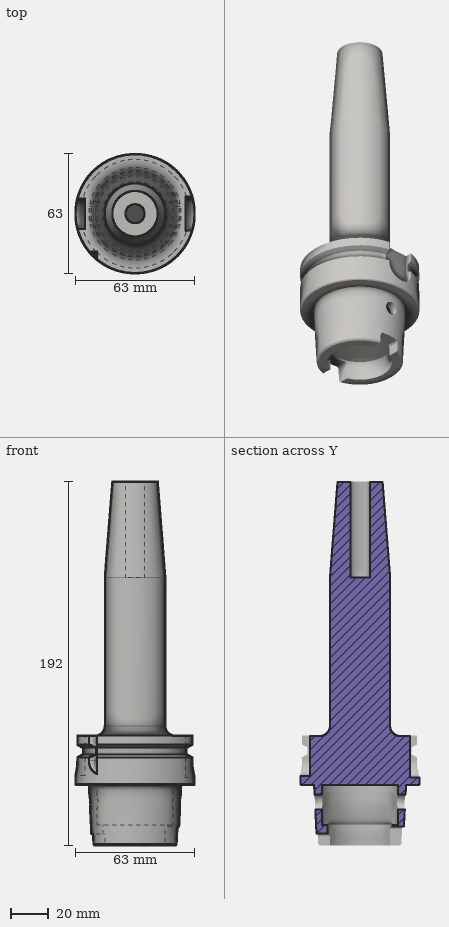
import cadquery as cq
import math


nose_radius = 12.0
neck_radius = 16.0
nose_length = 50.5
overall_height = 192.0
tool_bore_diameter = 10.0
tool_bore_depth = nose_length

flange_radius = 31.5
flange_height = 26.0
flange_lower_chamfer = 0.5
neck_fillet = 5.0
groove_depth = 2.8
groove_flank_angle = 30
groove_floor_bottom = 16.1
groove_floor_top = 19.7
groove_flank_rise = groove_depth * math.tan(math.radians(groove_flank_angle))

shank_length = 32.0
shank_top_radius = 24.4
taper_per_length = 1 / 20
shank_bottom_radius = shank_top_radius - taper_per_length * shank_length
shank_chamfer = 0.8
cavity_mouth_radius = 17.0
cavity_mouth_length = 11.0
cavity_inner_radius = 20.0
cavity_depth = shank_length

slot_center_height = 13.0
left_slot_width = 16.0
right_slot_width = 18.0
slot_floor_distance = 26.5
orientation_notch_distance = 20.0
orientation_notch_width = 16.0

keyway_width = 12.5
left_keyway_depth = 6.2
right_keyway_depth = 10.0
keyway_corner_radius = 1.5
cross_hole_diameter = 7.5
cross_hole_height = -9.0

nose_top = overall_height - shank_length
cut_reach = 2 * flange_radius


def turned_body():
    """Revolve the outer profile from the shank end up to the nose."""
    fillet_side = neck_fillet * math.sin(math.radians(45))
    fillet_middle = (
        neck_radius + neck_fillet - fillet_side,
        flange_height + neck_fillet - fillet_side,
    )
    groove_radius = flange_radius - groove_depth
    profile = (
        cq.Workplane("XZ")
        .moveTo(0, -shank_length)
        .lineTo(shank_bottom_radius - shank_chamfer, -shank_length)
        .lineTo(shank_bottom_radius, -shank_length + shank_chamfer)
        .lineTo(shank_top_radius, 0)
        .lineTo(flange_radius - flange_lower_chamfer, 0)
        .lineTo(flange_radius, flange_lower_chamfer)
        .lineTo(flange_radius, groove_floor_bottom - groove_flank_rise)
        .lineTo(groove_radius, groove_floor_bottom)
        .lineTo(groove_radius, groove_floor_top)
        .lineTo(flange_radius, groove_floor_top + groove_flank_rise)
        .lineTo(flange_radius, flange_height)
        .lineTo(neck_radius + neck_fillet, flange_height)
        .threePointArc(fillet_middle, (neck_radius, flange_height + neck_fillet))
        .lineTo(neck_radius, nose_top - nose_length)
        .lineTo(nose_radius, nose_top)
        .lineTo(0, nose_top)
        .close()
    )
    return profile.revolve(360, (0, 0, 0), (0, 1, 0))


def tool_bore():
    """Blind clamping bore in the nose."""
    return (
        cq.Workplane("XY", origin=(0, 0, nose_top - tool_bore_depth))
        .circle(tool_bore_diameter / 2)
        .extrude(tool_bore_depth)
    )


def shank_cavity():
    """Hollow of the shank, open below and wider beyond its mouth to form a clamping shoulder."""
    mouth = (
        cq.Workplane("XY", origin=(0, 0, -shank_length))
        .circle(cavity_mouth_radius)
        .extrude(cavity_mouth_length)
    )
    inner = (
        cq.Workplane("XY", origin=(0, 0, -shank_length + cavity_mouth_length))
        .circle(cavity_inner_radius)
        .extrude(cavity_depth - cavity_mouth_length)
    )
    return mouth.union(inner)


def flange_slot(side, floor_distance, width, center_y):
    """Slot open at the flange top and rim, with a full-round lower end; side is -1 or +1 along X."""
    half_width = width / 2
    return (
        cq.Workplane("YZ", origin=(side * floor_distance, 0, 0))
        .moveTo(center_y - half_width, flange_height)
        .lineTo(center_y - half_width, slot_center_height)
        .threePointArc(
            (center_y, slot_center_height - half_width),
            (center_y + half_width, slot_center_height),
        )
        .lineTo(center_y + half_width, flange_height)
        .close()
        .extrude(side * cut_reach)
    )


def drive_keyway(side, depth):
    """Keyway through the shank wall at its lower end, with rounded inner corners."""
    return (
        cq.Workplane("XY", origin=(0, 0, -shank_length))
        .rect(cut_reach, keyway_width)
        .extrude(depth)
        .edges("|X and >Z")
        .fillet(keyway_corner_radius)
        .translate((side * cut_reach / 2, 0, 0))
    )


def cross_hole():
    """Hole along X through both walls of the shank."""
    return (
        cq.Workplane("YZ", origin=(-cut_reach / 2, 0, cross_hole_height))
        .circle(cross_hole_diameter / 2)
        .extrude(cut_reach)
    )


notch_center_y = -orientation_notch_distance - orientation_notch_width / 2

result = (
    turned_body()
    .cut(tool_bore())
    .cut(shank_cavity())
    .cut(flange_slot(-1, slot_floor_distance, left_slot_width, 0))
    .cut(flange_slot(1, slot_floor_distance, right_slot_width, 0))
    .cut(flange_slot(-1, orientation_notch_distance, orientation_notch_width, notch_center_y))
    .cut(drive_keyway(-1, left_keyway_depth))
    .cut(drive_keyway(1, right_keyway_depth))
    .cut(cross_hole())
)